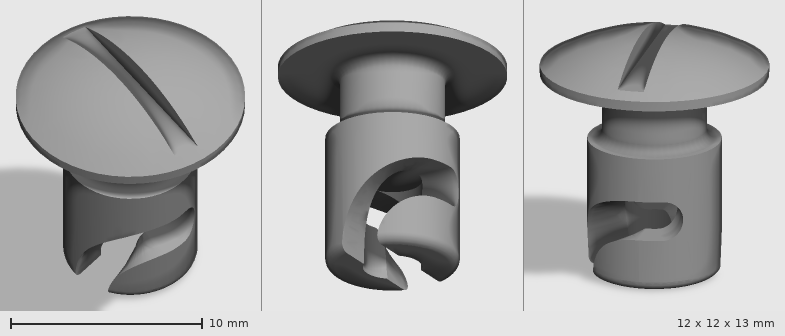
import cadquery as cq
import math

TOTAL_HEIGHT = 12.98
RIM_TOP = 11.35
RIM_BOTTOM = 10.83
BODY_TOP = 7.31

HEAD_RADIUS = 6.0
NECK_RADIUS = 2.75
BODY_RADIUS = 3.52
BORE_RADIUS = 1.56
NECK_FILLET = 0.49
BOTTOM_FILLET = 0.49

DRIVER_WIDTH = 1.4
DRIVER_FLOOR = 11.68

CAM_WIDTH = 2.13
CAM_HEIGHT = 3.85
CAM_END_ANGLE = -21.0
CAM_BEND_ANGLE = 2.0
CAM_MOUTH_ANGLE = 70.9
CAM_STATIONS = 9
CAM_INNER_RADIUS = 1.17
CLEARANCE = 0.52

BORE_DEPTH = CAM_HEIGHT + CAM_WIDTH / 2
CUTTER_RADIUS = BODY_RADIUS + CLEARANCE


def turned_stud():
    """Domed head, necked shank and body as one revolved profile."""
    lip_radius = DRIVER_WIDTH / 2
    squares = lip_radius**2 + TOTAL_HEIGHT**2 - HEAD_RADIUS**2 - RIM_TOP**2
    dome_centre = squares / (2 * (TOTAL_HEIGHT - RIM_TOP))
    dome_radius = math.hypot(HEAD_RADIUS, RIM_TOP - dome_centre)
    profile = (
        cq.Workplane("XZ")
        .lineTo(BODY_RADIUS - BOTTOM_FILLET, 0)
        .radiusArc((BODY_RADIUS, BOTTOM_FILLET), -BOTTOM_FILLET)
        .lineTo(BODY_RADIUS, BODY_TOP)
        .lineTo(NECK_RADIUS + NECK_FILLET, BODY_TOP)
        .radiusArc((NECK_RADIUS, BODY_TOP + NECK_FILLET), NECK_FILLET)
        .lineTo(NECK_RADIUS, RIM_BOTTOM - NECK_FILLET)
        .radiusArc((NECK_RADIUS + NECK_FILLET, RIM_BOTTOM), NECK_FILLET)
        .lineTo(HEAD_RADIUS, RIM_BOTTOM)
        .lineTo(HEAD_RADIUS, RIM_TOP)
        .threePointArc((lip_radius, TOTAL_HEIGHT), (0, dome_centre + dome_radius))
        .close()
    )
    return profile.revolve(360, (0, 0, 0), (0, 1, 0))


def driver_slot():
    """Straight slot across the whole head."""
    base = cq.Workplane("XY").workplane(offset=DRIVER_FLOOR)
    return base.rect(2 * (HEAD_RADIUS + CLEARANCE), DRIVER_WIDTH).extrude(TOTAL_HEIGHT)


def blind_bore():
    return cq.Workplane("XY").circle(BORE_RADIUS).extrude(BORE_DEPTH)


def radial_direction(angle):
    """Outward direction at an angle in degrees measured from -X toward +Y."""
    return cq.Vector(-math.cos(math.radians(angle)), math.sin(math.radians(angle)), 0)


def cam_section(angle, height, slope):
    """Radial rectangle across the slot; slope is its downward heading in radians."""
    outward = radial_direction(angle)
    around = radial_direction(angle + 90)
    across = around * math.sin(slope) + cq.Vector(0, 0, math.cos(slope))
    corners = []
    inner, outer = CAM_INNER_RADIUS, CUTTER_RADIUS
    for radius, side in ((inner, -1), (outer, -1), (outer, 1), (inner, 1)):
        corners.append(outward * radius + cq.Vector(0, 0, height) + across * (side * CAM_WIDTH / 2))
    return cq.Wire.makePolygon(corners, close=True)


def cam_slot():
    """Slot milled by a radial cutter, from its round end to the open bottom."""
    bend_span = CAM_MOUTH_ANGLE - CAM_BEND_ANGLE
    bend_length = BODY_RADIUS * math.radians(bend_span)
    bend_sections = []
    for station in range(CAM_STATIONS):
        turn = math.pi / 2 * station / (CAM_STATIONS - 1)
        angle = CAM_BEND_ANGLE + bend_span * math.sin(turn)
        slope = math.atan2(CAM_HEIGHT * math.sin(turn), bend_length * math.cos(turn))
        bend_sections.append(cam_section(angle, CAM_HEIGHT * math.cos(turn), slope))
    bend = cq.Workplane(cq.Solid.makeLoft(bend_sections))

    run_out = cq.Workplane(cq.Solid.makeLoft([
        cam_section(CAM_MOUTH_ANGLE, 0, math.pi / 2),
        cam_section(CAM_MOUTH_ANGLE, -CLEARANCE, math.pi / 2),
    ]))

    level_span = CAM_BEND_ANGLE - CAM_END_ANGLE
    cutter_length = CUTTER_RADIUS - CAM_INNER_RADIUS
    cutter_middle = (CUTTER_RADIUS + CAM_INNER_RADIUS) / 2
    level_run = (
        cq.Workplane("XZ")
        .center(cutter_middle, CAM_HEIGHT)
        .rect(cutter_length, CAM_WIDTH)
        .revolve(level_span, (-cutter_middle, 0), (-cutter_middle, -1))
        .rotate((0, 0, 0), (0, 0, 1), 180 - CAM_END_ANGLE)
    )

    round_ends = [
        cq.Workplane(cq.Solid.makeCylinder(
            CAM_WIDTH / 2,
            cutter_length,
            radial_direction(angle) * CAM_INNER_RADIUS + cq.Vector(0, 0, CAM_HEIGHT),
            radial_direction(angle)
        ))
        for angle in (CAM_END_ANGLE, CAM_BEND_ANGLE)
    ]
    return [bend, run_out, level_run] + round_ends


result = turned_stud().cut(driver_slot()).cut(blind_bore())
for half_turn in (0, 180):
    for cutter in cam_slot():
        result = result.cut(cutter.rotate((0, 0, 0), (0, 0, 1), half_turn))